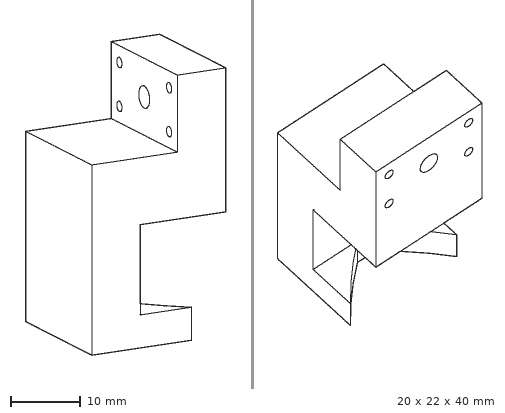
import cadquery as cq
import math

width = 20.0
depth = 22.0
height = 40.05

plate_thickness = 7.95
plate_height = 11.55
wall_thickness = 7.95
slot_bottom = 4.95
slot_height = 13.5
lip_reach = 16.35
flank_bow = 0.32

hole_spacing_x = 14.98
hole_spacing_z = 6.55
hole_diameter = 1.52
bore_diameter = 3.3
hole_center_drop = 5.8

slot_top = slot_bottom + slot_height
step_height = height - plate_height
hole_center_z = height - hole_center_drop
lip_length = lip_reach - wall_thickness


def make_body():
    """Side profile extruded across the width, with the front face at Y = 0."""
    profile = [
        (0, 0),
        (lip_reach, 0),
        (lip_reach, slot_bottom),
        (wall_thickness, slot_bottom),
        (wall_thickness, slot_top),
        (depth, slot_top),
        (depth, height),
        (depth - plate_thickness, height),
        (depth - plate_thickness, step_height),
        (0, step_height),
    ]
    return cq.Workplane("YZ").polyline(profile).close().extrude(width / 2, both=True)


def make_lip_notch():
    """Notch with slightly bowed, roughly 45 degree flanks, leaving a prong at each side of the lip."""
    half_mouth = width / 2
    half_root = half_mouth - lip_length
    bow_offset = flank_bow / math.sqrt(2)
    bow_x = (half_mouth + half_root) / 2 + bow_offset
    bow_y = (lip_reach + wall_thickness) / 2 - bow_offset
    return (
        cq.Workplane("XY")
        .moveTo(-half_mouth, lip_reach)
        .threePointArc((-bow_x, bow_y), (-half_root, wall_thickness))
        .lineTo(half_root, wall_thickness)
        .threePointArc((bow_x, bow_y), (half_mouth, lip_reach))
        .close()
        .extrude(slot_bottom)
    )


def make_plate_holes():
    """Central bore and four screw holes, all running through the plate along Y."""
    plane = cq.Workplane("XZ", origin=(0, 0, hole_center_z))
    bore = plane.circle(bore_diameter / 2).extrude(-depth)
    screws = (
        plane.rarray(hole_spacing_x, hole_spacing_z, 2, 2)
        .circle(hole_diameter / 2)
        .extrude(-depth)
    )
    return bore.union(screws)


result = make_body().cut(make_lip_notch()).cut(make_plate_holes())